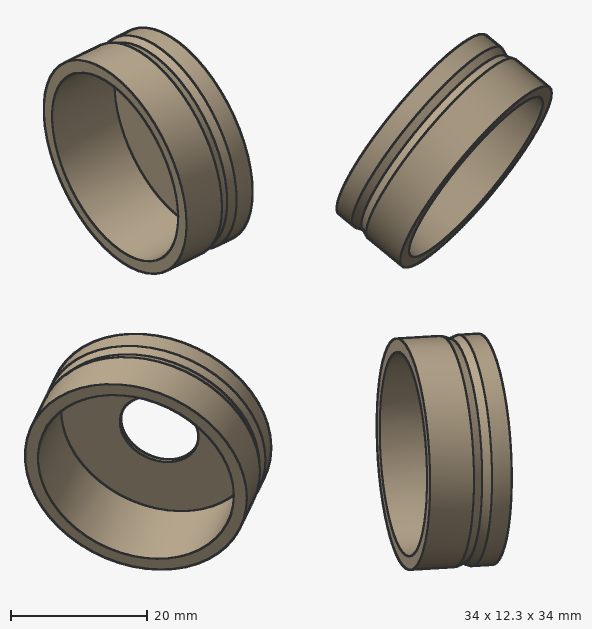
import cadquery as cq

outer_diameter = 34.0
bore_diameter = 30.0
hole_diameter = 12.0
depth = 12.3
floor_thickness = 0.68

groove_start = 6.6
groove_width = 2.72
groove_depth = 0.5


def cylinder(diameter, start, length):
    """Cylinder along +Y, starting at the given distance from the mouth."""
    plane = cq.Workplane("XZ", origin=(0, start, 0))
    return plane.circle(diameter / 2).extrude(-length)


def v_groove():
    """Triangular ring that cuts the groove into the outer wall."""
    outer_radius = outer_diameter / 2
    profile = [
        (outer_radius, groove_start),
        (outer_radius - groove_depth, groove_start + groove_width / 2),
        (outer_radius, groove_start + groove_width),
    ]
    return cq.Workplane("XY").polyline(profile).close().revolve(360, (0, 0, 0), (0, 1, 0))


body = cylinder(outer_diameter, 0, depth)
bore = cylinder(bore_diameter, 0, depth - floor_thickness)
floor_hole = cylinder(hole_diameter, 0, depth)

result = body.cut(bore).cut(floor_hole).cut(v_groove())